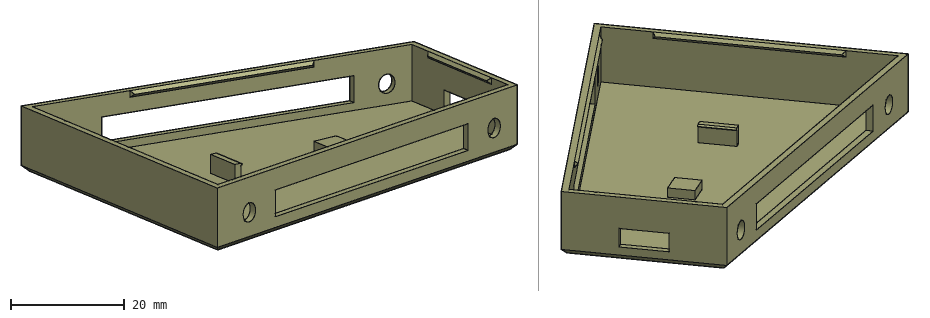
import cadquery as cq
import math

length = 76.5
wide_width = 57.0
narrow_width = 30.05
height = 12.0
wall = 1.3
floor = 1.5
bottom_chamfer = 1.0
side_angle = math.degrees(math.atan2((wide_width - narrow_width) / 2, length))

side_window_base = 3.0
side_window_length = 49.1
side_window_height = 5.0
side_opening_mid_z = side_window_base + side_window_height / 2
side_window_y = 1.15
side_hole_offset = 0.9
side_hole_width = 3.2
side_hole_height = 3.5
side_hole_spacing = 63.3
back_window_base = 2.5
back_window_width = 9.1
back_window_height = 3.5

ridge_depth = 0.6
ridge_height = 2 * ridge_depth
front_ridge_length = 35.0
back_ridge_length = 18.35
left_ridge_length = 36.4
right_ridge_length = 58.3
right_ridge_offset = 4.6

pad_size = 5.0
pad_height = 1.75
pad_y = 9.1
clip_width = 7.0
clip_thickness = 1.3
clip_height = 3.5
clip_back_y = -14.1
clip_lip_depth = 0.4
clip_lip_height = 0.5


def wall_plane(x, y, turn):
    """Plane on an inner wall face: local X along the wall, local Y up, normal into the tray."""
    angle = math.radians(turn)
    inward = (math.cos(angle), math.sin(angle), 0)
    along = (-math.sin(angle), math.cos(angle), 0)
    return cq.Plane(origin=(x, y, 0), xDir=along, normal=inward)


side_x = (wide_width + narrow_width) / 4 - wall / math.cos(math.radians(side_angle))
end_y = length / 2 - wall
left_wall = wall_plane(-side_x, 0, -side_angle)
right_wall = wall_plane(side_x, 0, 180 + side_angle)
front_wall = wall_plane(0, -end_y, 90)
back_wall = wall_plane(0, end_y, -90)


def outline():
    """Outer trapezium in plan."""
    return cq.Workplane("XY").polyline([
        (-wide_width / 2, -length / 2),
        (wide_width / 2, -length / 2),
        (narrow_width / 2, length / 2),
        (-narrow_width / 2, length / 2),
    ]).close()


def make_tray():
    body = outline().extrude(height).faces("<Z").chamfer(bottom_chamfer)
    cavity = outline().offset2D(-wall).extrude(height).translate((0, 0, floor))
    return body.cut(cavity)


def opening_cutter(sketch):
    """Extend an opening drawn on an inner wall face out through that wall."""
    return sketch.extrude(-2 * wall)


def cut_side_windows(body):
    """Cut both side windows straight through along X."""
    windows = cq.Workplane("XY").box(wide_width, side_window_length, side_window_height)
    return body.cut(windows.translate((0, side_window_y, side_opening_mid_z)))


def cut_side_holes(body, plane, offset):
    """Cut the two oval holes of one side wall, square to the wall."""
    holes = cq.Workplane(plane).center(offset, side_opening_mid_z).pushPoints(
        [(-side_hole_spacing / 2, 0), (side_hole_spacing / 2, 0)]
    ).ellipse(side_hole_width / 2, side_hole_height / 2)
    return body.cut(opening_cutter(holes))


def cut_back_window(body):
    window = cq.Workplane(back_wall).center(0, back_window_base + back_window_height / 2)
    return body.cut(opening_cutter(window.rect(back_window_width, back_window_height)))


def snap_ridge(plane, ridge_length, offset=0.0):
    """Triangular ridge just below the rim, with its ends sloping back to the wall."""
    start = offset - ridge_length / 2
    end = offset + ridge_length / 2
    section = cq.Workplane(cq.Plane(plane.origin, xDir=plane.zDir, normal=plane.xDir)).polyline([
        (0, -height),
        (ridge_depth, -height + ridge_height / 2),
        (0, -height + ridge_height),
    ]).close().extrude(length / 2, both=True)
    plan = cq.Workplane(cq.Plane(plane.origin, xDir=plane.xDir, normal=plane.yDir * -1)).polyline([
        (start, 0),
        (start + ridge_depth, ridge_depth),
        (end - ridge_depth, ridge_depth),
        (end, 0),
    ]).close().extrude(-height)
    return section.intersect(plan)


def floor_pad():
    return cq.Workplane("XY").box(pad_size, pad_size, pad_height, centered=(True, True, False)).translate(
        (0, pad_y, floor)
    )


def floor_clip():
    """Upright clip with a triangular lip along the top of its +Y face."""
    top = floor + clip_height
    profile = cq.Workplane("YZ").polyline([
        (clip_back_y - clip_thickness, floor),
        (clip_back_y, floor),
        (clip_back_y, top - clip_lip_height),
        (clip_back_y + clip_lip_depth, top - clip_lip_height / 2),
        (clip_back_y, top),
        (clip_back_y - clip_thickness, top),
    ]).close()
    return profile.extrude(clip_width / 2, both=True)


result = make_tray()
result = cut_side_windows(result)
result = cut_side_holes(result, left_wall, side_hole_offset)
result = cut_side_holes(result, right_wall, -side_hole_offset)
result = cut_back_window(result)
result = result.union(snap_ridge(front_wall, front_ridge_length))
result = result.union(snap_ridge(back_wall, back_ridge_length))
result = result.union(snap_ridge(left_wall, left_ridge_length))
result = result.union(snap_ridge(right_wall, right_ridge_length, right_ridge_offset))
result = result.union(floor_pad()).union(floor_clip())